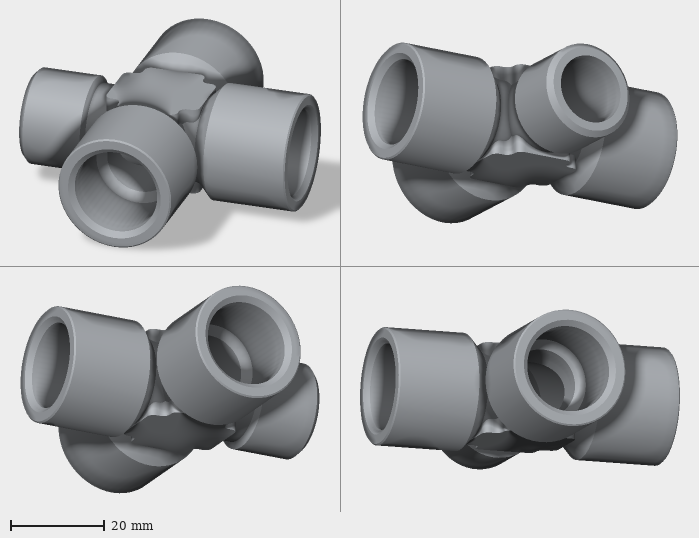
import cadquery as cq

SOCKET_REACH = 32.0
STUB_REACH = 29.0
THROUGH_RADIUS = 15.0 / 2

SOCKET_RADIUS = 25.5 / 2
SOCKET_NECK_RADIUS = 19.3 / 2
SOCKET_COLLAR_START = 13.75
SOCKET_RIM_CHAMFER = 0.3
SOCKET_BORE_RADIUS = 18.6 / 2
SOCKET_MOUTH_RADIUS = 20.9 / 2
SOCKET_BORE_DEPTH = 16.0

STUB_RADIUS = 20.9 / 2
STUB_TIP_RADIUS = 18.6 / 2
STUB_NECK_RADIUS = 18.0 / 2
STUB_NECK_END = 14.2
STUB_COLLAR_START = 15.0

BLOCK_HALF_SPAN = 10.55
BLOCK_ARM_HALF_WIDTH = 6.8
BLOCK_HEIGHT = 19.85
BLOCK_CORNER_RADIUS = 1.55


def revolve_arm(profile, angle):
    """Revolve (radius, distance) points about the +X axis, then turn the arm about Z."""
    points = [(distance, radius) for radius, distance in profile]
    arm = cq.Workplane("XY").polyline(points).close().revolve(360, (0, 0, 0), (1, 0, 0))
    return arm.rotate((0, 0, 0), (0, 0, 1), angle)


def socket_body(angle):
    shoulder_start = SOCKET_COLLAR_START - (SOCKET_RADIUS - SOCKET_NECK_RADIUS)
    profile = [
        (0, 0),
        (SOCKET_NECK_RADIUS, 0),
        (SOCKET_NECK_RADIUS, shoulder_start),
        (SOCKET_RADIUS, SOCKET_COLLAR_START),
        (SOCKET_RADIUS, SOCKET_REACH - SOCKET_RIM_CHAMFER),
        (SOCKET_RADIUS - SOCKET_RIM_CHAMFER, SOCKET_REACH),
        (0, SOCKET_REACH),
    ]
    return revolve_arm(profile, angle)


def socket_bore(angle):
    mouth_depth = SOCKET_MOUTH_RADIUS - SOCKET_BORE_RADIUS
    bore_bottom = SOCKET_REACH - SOCKET_BORE_DEPTH
    seat_bottom = bore_bottom - (SOCKET_BORE_RADIUS - THROUGH_RADIUS)
    profile = [
        (0, 0),
        (THROUGH_RADIUS, 0),
        (THROUGH_RADIUS, seat_bottom),
        (SOCKET_BORE_RADIUS, bore_bottom),
        (SOCKET_BORE_RADIUS, SOCKET_REACH - mouth_depth),
        (SOCKET_MOUTH_RADIUS, SOCKET_REACH),
        (0, SOCKET_REACH),
    ]
    return revolve_arm(profile, angle)


def stub_body(angle):
    tip_chamfer = STUB_RADIUS - STUB_TIP_RADIUS
    profile = [
        (0, 0),
        (STUB_NECK_RADIUS, 0),
        (STUB_NECK_RADIUS, STUB_NECK_END),
        (STUB_RADIUS, STUB_COLLAR_START),
        (STUB_RADIUS, STUB_REACH - tip_chamfer),
        (STUB_TIP_RADIUS, STUB_REACH),
        (0, STUB_REACH),
    ]
    return revolve_arm(profile, angle)


def stub_bore(angle):
    profile = [(0, 0), (THROUGH_RADIUS, 0), (THROUGH_RADIUS, STUB_REACH), (0, STUB_REACH)]
    return revolve_arm(profile, angle)


def central_block():
    span = 2 * BLOCK_HALF_SPAN
    width = 2 * BLOCK_ARM_HALF_WIDTH
    cross = cq.Workplane("XY").box(span, width, BLOCK_HEIGHT)
    cross = cross.union(cq.Workplane("XY").box(width, span, BLOCK_HEIGHT))
    return cross.edges("|Z").fillet(BLOCK_CORNER_RADIUS)


socket_angles = (0, 90, -90)
stub_angle = 180

result = central_block().union(stub_body(stub_angle))
for socket_angle in socket_angles:
    result = result.union(socket_body(socket_angle))

result = result.cut(stub_bore(stub_angle))
for socket_angle in socket_angles:
    result = result.cut(socket_bore(socket_angle))